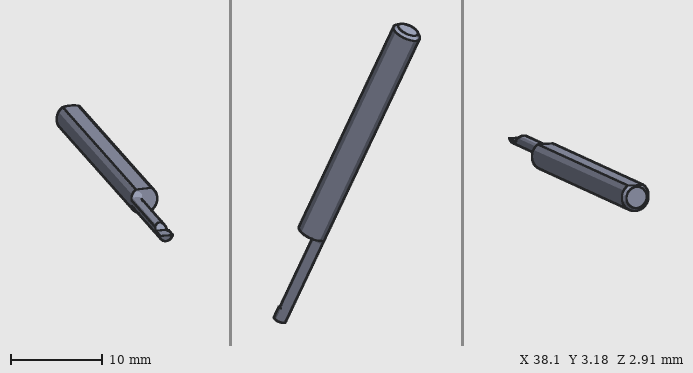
import cadquery as cq
import math

overall_length = 38.1
shank_diameter = 3.175
shank_radius = shank_diameter / 2
shank_length = 26.9
height_over_flat = 2.91
flat_z = height_over_flat - shank_radius
rear_chamfer = 0.4

neck_radius = 0.67
neck_axis_y = -0.97
neck_top_y = neck_axis_y + neck_radius
root_radius = 0.63

rake_face_z = 0.0
rake_face_length = 1.78
rake_ramp_angle = 45
tooth_length = 1.52
tooth_projection = 0.12
tooth_tip_y = neck_top_y + tooth_projection
end_relief_angle = 5


def make_shank():
    """Round shank, chamfered at the rear, with a clamping flat along its top."""
    bar = cq.Workplane("YZ").circle(shank_radius).extrude(shank_length)
    bar = bar.faces("<X").chamfer(rear_chamfer)
    above_flat = (
        cq.Workplane("XY", origin=(0, 0, flat_z))
        .rect(2 * overall_length, 2 * shank_diameter)
        .extrude(shank_diameter)
    )
    return bar.cut(above_flat)


def make_neck():
    """Neck turned about its own axis, flaring into the shank through a root fillet."""
    flare_radius = neck_radius + root_radius
    arc_offset = root_radius * (1 - math.sqrt(0.5))
    profile = (
        cq.Workplane("XY")
        .moveTo(shank_length, neck_axis_y)
        .lineTo(shank_length, neck_axis_y + flare_radius)
        .threePointArc(
            (shank_length + arc_offset, neck_top_y + arc_offset),
            (shank_length + root_radius, neck_top_y),
        )
        .lineTo(overall_length, neck_top_y)
        .lineTo(overall_length, neck_axis_y)
        .close()
    )
    return profile.revolve(360, (0, neck_axis_y, 0), (1, neck_axis_y, 0))


def make_tooth():
    """Cutting tooth on the +Y side, its clearance face running tangent into the neck."""
    tip_offset = tooth_tip_y - neck_axis_y
    tangent_angle = math.acos(neck_radius / tip_offset)
    tangent_y = neck_axis_y + neck_radius * math.cos(tangent_angle)
    tangent_z = rake_face_z - neck_radius * math.sin(tangent_angle)
    return (
        cq.Workplane("YZ", origin=(overall_length - tooth_length, 0, 0))
        .moveTo(neck_axis_y, rake_face_z)
        .lineTo(tooth_tip_y, rake_face_z)
        .lineTo(tangent_y, tangent_z)
        .close()
        .extrude(tooth_length)
    )


def make_rake_cut():
    """Material removed above the rake face and its ramp."""
    ramp_start_x = overall_length - rake_face_length
    cut_height = shank_radius - rake_face_z
    ramp_run = cut_height / math.tan(math.radians(rake_ramp_angle))
    return (
        cq.Workplane("XZ")
        .moveTo(ramp_start_x, rake_face_z)
        .lineTo(overall_length, rake_face_z)
        .lineTo(overall_length, shank_radius)
        .lineTo(ramp_start_x - ramp_run, shank_radius)
        .close()
        .extrude(shank_diameter, both=True)
    )


def make_end_relief_cut():
    """Wedge that slopes the front end back from the tooth tip toward -Y."""
    relief_width = tooth_tip_y + shank_diameter
    relief_depth = relief_width * math.tan(math.radians(end_relief_angle))
    return (
        cq.Workplane("XY")
        .moveTo(overall_length, tooth_tip_y)
        .lineTo(overall_length, -shank_diameter)
        .lineTo(overall_length - relief_depth, -shank_diameter)
        .close()
        .extrude(shank_diameter, both=True)
    )


ground_bar = cq.Workplane("YZ").circle(shank_radius).extrude(overall_length)
cutting_end = make_neck().union(make_tooth()).intersect(ground_bar)
cutting_end = cutting_end.cut(make_rake_cut()).cut(make_end_relief_cut())
result = make_shank().union(cutting_end)